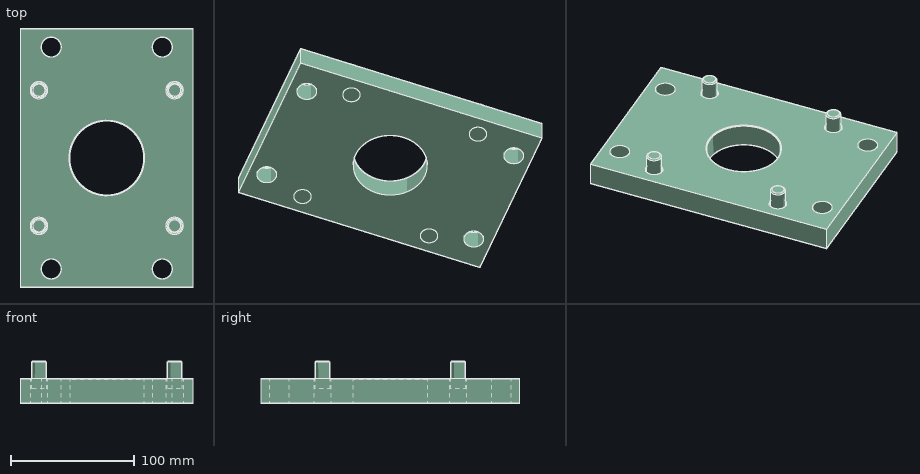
import cadquery as cq

PLATE_WIDTH = 140.0
PLATE_LENGTH = 210.0
PLATE_THICKNESS = 20.0

BORE_DIAMETER = 60.0
BORE_CHAMFER = 0.6

BOLT_HOLE_DIAMETER = 16.0
BOLT_SPACING_X = 90.0
BOLT_SPACING_Y = 180.0

PIN_SPACING = 110.0
PIN_DIAMETER = 12.0
PIN_PROTRUSION = 14.5
PIN_CHAMFER = 1.0

PIN_HOLE_DIAMETER = 14.0
PIN_HEAD_HEIGHT = PIN_DIAMETER


def corner_points(spacing_x, spacing_y):
    """Four corners of a rectangle centred on the origin."""
    return [
        (side_x * spacing_x / 2, side_y * spacing_y / 2)
        for side_x in (-1, 1)
        for side_y in (-1, 1)
    ]


BOLT_POINTS = corner_points(BOLT_SPACING_X, BOLT_SPACING_Y)
PIN_POINTS = corner_points(PIN_SPACING, PIN_SPACING)


def revolved(profile):
    """Solid turned about the Z axis from a (radius, height) outline."""
    return cq.Workplane("XZ").polyline(profile).close().revolve(360, (0, 0), (0, 1))


def through_holes(points, diameter):
    """Cutting cylinders through the full plate thickness."""
    return cq.Workplane("XY").pushPoints(points).circle(diameter / 2).extrude(PLATE_THICKNESS)


def make_bore():
    """Cutting shape of the central bore, widened at the top by its chamfer."""
    bore_radius = BORE_DIAMETER / 2
    profile = [
        (0, 0),
        (bore_radius, 0),
        (bore_radius, PLATE_THICKNESS - BORE_CHAMFER),
        (bore_radius + BORE_CHAMFER, PLATE_THICKNESS),
        (0, PLATE_THICKNESS),
    ]
    return revolved(profile)


def make_plate():
    """Flat plate with the bore, the bolt holes and the pin holes."""
    blank = cq.Workplane("XY").box(
        PLATE_WIDTH, PLATE_LENGTH, PLATE_THICKNESS, centered=(True, True, False)
    )
    return (
        blank.cut(make_bore())
        .cut(through_holes(BOLT_POINTS, BOLT_HOLE_DIAMETER))
        .cut(through_holes(PIN_POINTS, PIN_HOLE_DIAMETER))
    )


def make_pin(point):
    """Pin whose head sits in the plate and whose chamfered shank stands above it."""
    head_radius = PIN_HOLE_DIAMETER / 2
    shank_radius = PIN_DIAMETER / 2
    top = PLATE_THICKNESS + PIN_PROTRUSION
    profile = [
        (0, 0),
        (head_radius, 0),
        (head_radius, PIN_HEAD_HEIGHT),
        (shank_radius, PIN_HEAD_HEIGHT),
        (shank_radius, top - PIN_CHAMFER),
        (shank_radius - PIN_CHAMFER, top),
        (0, top),
    ]
    return revolved(profile).translate((*point, 0))


plate = make_plate()
pins = [make_pin(point) for point in PIN_POINTS]

result = cq.Compound.makeCompound([plate.val(), *[pin.val() for pin in pins]])